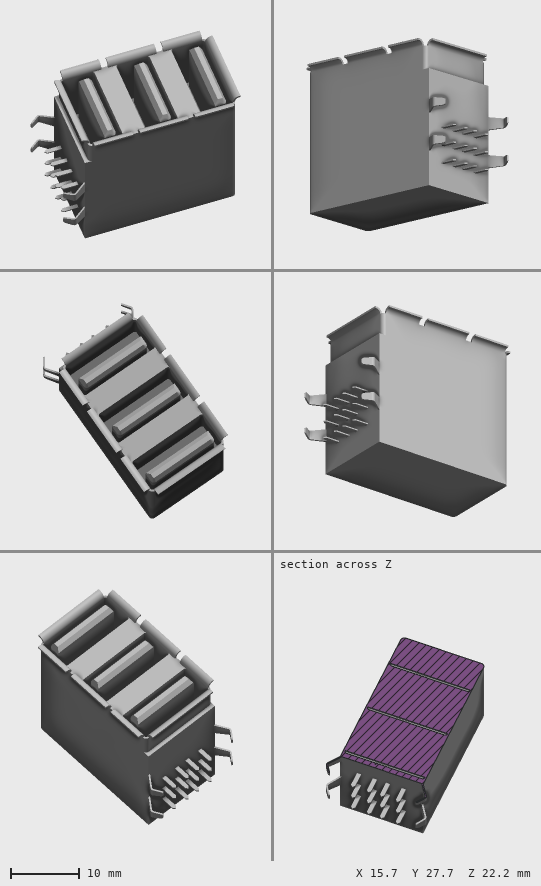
import cadquery as cq
import math


sheet = 0.3
shell_width = 13.1
shell_front = 0.6
shell_back = 23.38
shell_depth = shell_back - shell_front
rim_height = 21.2
corner_radius = 2 * sheet
half_width = shell_width / 2

block_height = 17.65
block_overlap = corner_radius

lip_height = 1.0
lip_reach = 0.85
side_lip_gap = 1.05
short_lip_length = 6.0
straight_depth = shell_depth - 2 * corner_radius

port_count = 3
port_width = shell_width - 2 * sheet
port_depth = 5.13
port_floor = 12.35
port_first = shell_front + sheet
port_last = shell_back - sheet - port_depth
port_pitch = (port_last - port_first) / (port_count - 1)
groove_depth = 0.55

tongue_width = 11.1
tongue_depth = 1.85
tongue_top = 21.68
tongue_offset = 2.52
tongue_corner = 0.58
tongue_bevel_run = 0.5
tongue_bevel_drop = 0.85
front_bevel_run = 0.6
front_bevel_drop = 0.65

pin_width = 0.65
pin_thickness = 0.2
pin_length = 2.58
pin_point = 0.33
pin_columns = (-3.52, -1.03, 1.03, 3.52)
pin_first_row = 3.97
pin_row_pitch = 2.65
pin_rows = 3

clip_heights = (6.2, 11.92)
clip_sheet = 0.25
clip_span = 15.7
clip_reach = 3.5
clip_angle = math.radians(35)
clip_bend_radius = 0.53
clip_bend_y = -2.0
clip_base_height = 1.95
clip_taper = 0.14
clip_tip_radius = 0.35

root = 0.28


def make_shell():
    shell = (
        cq.Workplane("XY")
        .box(shell_width, shell_depth, rim_height, centered=(True, False, False))
        .translate((0, shell_front, 0))
        .edges("|Z")
        .fillet(corner_radius)
    )
    block = cq.Workplane("XY").box(
        shell_width, shell_front + block_overlap, block_height, centered=(True, False, False)
    )
    return shell.union(block)


def make_lip(length):
    """Lip along Y, centred on y = 0; the wall's outer face is x = 0 and the flare goes to +X."""
    inner_radius = lip_height - sheet
    diagonal = math.sqrt(0.5)
    return (
        cq.Workplane("XZ")
        .moveTo(-sheet, rim_height)
        .threePointArc(
            (inner_radius - lip_height * diagonal, rim_height + lip_height * diagonal),
            (inner_radius, rim_height + lip_height),
        )
        .lineTo(lip_reach, rim_height + lip_height)
        .lineTo(lip_reach, rim_height + inner_radius)
        .lineTo(inner_radius, rim_height + inner_radius)
        .threePointArc(
            (inner_radius * (1 - diagonal), rim_height + inner_radius * diagonal),
            (0, rim_height),
        )
        .close()
        .extrude(length / 2, both=True)
    )


def make_lips():
    long_length = straight_depth - 2 * side_lip_gap - 2 * short_lip_length
    middle = (shell_front + shell_back) / 2
    short_offset = (long_length + short_lip_length) / 2 + side_lip_gap
    end_length = shell_width - 2 * corner_radius

    lips = []
    placements = (
        (-short_offset, short_lip_length),
        (0, long_length),
        (short_offset, short_lip_length),
    )
    for offset, length in placements:
        lip = make_lip(length).translate((half_width, middle + offset, 0))
        lips.extend((lip, lip.mirror("YZ")))

    end_lip = make_lip(end_length)
    lips.append(end_lip.rotate((0, 0, 0), (0, 0, 1), 90).translate((0, shell_back, 0)))
    lips.append(end_lip.rotate((0, 0, 0), (0, 0, 1), -90).translate((0, shell_front, 0)))
    return lips


def make_port():
    """Cavity with its -Y face on y = 0 and a narrow groove along that side of the floor."""
    groove_floor = port_floor - groove_depth
    cavity = (
        cq.Workplane("XY")
        .box(port_width, port_depth, rim_height - groove_floor, centered=(True, False, False))
        .edges("|Z")
        .fillet(sheet)
        .translate((0, 0, groove_floor))
    )
    floor_step = (
        cq.Workplane("XY")
        .box(port_width, port_depth, groove_depth, centered=(True, False, False))
        .translate((0, sheet, groove_floor))
    )
    return cavity.cut(floor_step)


def make_tongue():
    """Tongue standing on the port floor, bevelled at its top, with y = 0 on the port's -Y face."""
    back = tongue_offset + tongue_depth
    height = tongue_top - port_floor + root
    half_tongue = tongue_width / 2
    body = (
        cq.Workplane("XY")
        .box(tongue_width, tongue_depth, height, centered=(True, False, False))
        .translate((0, tongue_offset, port_floor - root))
        .edges("|Z and >Y")
        .fillet(tongue_corner)
    )
    taper = math.degrees(math.atan2(tongue_bevel_run, tongue_bevel_drop))
    bevel_base = tongue_top - tongue_bevel_drop
    cap = (
        cq.Workplane("XY", origin=(0, 0, bevel_base))
        .moveTo(-half_tongue, tongue_offset - tongue_bevel_run)
        .lineTo(half_tongue, tongue_offset - tongue_bevel_run)
        .lineTo(half_tongue, back - tongue_corner)
        .radiusArc((half_tongue - tongue_corner, back), -tongue_corner)
        .lineTo(tongue_corner - half_tongue, back)
        .radiusArc((-half_tongue, back - tongue_corner), -tongue_corner)
        .close()
        .extrude(tongue_bevel_drop, taper=taper)
    )
    trunk = cq.Workplane("XY").box(tongue_width, back, bevel_base, centered=(True, False, False))
    front_wedge = (
        cq.Workplane("YZ")
        .moveTo(tongue_offset, tongue_top - front_bevel_drop)
        .lineTo(tongue_offset + front_bevel_run, tongue_top)
        .lineTo(tongue_offset, tongue_top)
        .close()
        .extrude(half_tongue, both=True)
    )
    return body.intersect(trunk.union(cap)).cut(front_wedge)


def make_pin():
    """Flat pin along -Y with a pointed tip, centred on x = 0, z = 0."""
    half_pin = pin_width / 2
    return (
        cq.Workplane("XY")
        .moveTo(-half_pin, root)
        .lineTo(half_pin, root)
        .lineTo(half_pin, pin_point - pin_length)
        .lineTo(0, -pin_length)
        .lineTo(-half_pin, pin_point - pin_length)
        .close()
        .extrude(pin_thickness / 2, both=True)
    )


def make_clip():
    """Clip on the +X side, centred on z = 0: out from the block, round a bend and back inward."""
    center_x = clip_span / 2 - clip_bend_radius
    inner_radius = clip_bend_radius - clip_sheet
    cosine = math.cos(clip_angle)
    sine = math.sin(clip_angle)

    def on_bend(radius, side):
        return (center_x + radius * cosine, clip_bend_y + side * radius * sine)

    outer_start = on_bend(clip_bend_radius, 1)
    outer_end = on_bend(clip_bend_radius, -1)
    inner_start = on_bend(inner_radius, 1)
    inner_end = on_bend(inner_radius, -1)
    root_run = (root - outer_start[1]) / cosine
    tip_run = (clip_reach + outer_end[1]) / cosine

    strip = (
        cq.Workplane("XY")
        .moveTo(outer_start[0] - root_run * sine, root)
        .lineTo(*outer_start)
        .threePointArc((center_x + clip_bend_radius, clip_bend_y), outer_end)
        .lineTo(outer_end[0] - tip_run * sine, -clip_reach)
        .lineTo(inner_end[0] - tip_run * sine, inner_end[1] - tip_run * cosine)
        .lineTo(*inner_end)
        .threePointArc((center_x + inner_radius, clip_bend_y), inner_start)
        .lineTo(inner_start[0] - root_run * sine, inner_start[1] + root_run * cosine)
        .close()
        .extrude(clip_base_height, both=True)
    )
    root_half = clip_base_height / 2 + clip_taper * 2 * root
    tip_half = clip_base_height / 2 - clip_taper * clip_reach
    outline = (
        cq.Workplane("YZ")
        .moveTo(2 * root, root_half)
        .lineTo(-clip_reach, tip_half)
        .lineTo(-clip_reach, -tip_half)
        .lineTo(2 * root, -root_half)
        .close()
        .extrude(clip_span)
        .edges("|X and <Y")
        .fillet(clip_tip_radius)
    )
    return strip.intersect(outline)


result = make_shell()

for lip in make_lips():
    result = result.union(lip)

port = make_port()
tongue = make_tongue()
for index in range(port_count):
    place = (0, port_first + index * port_pitch, 0)
    result = result.cut(port.translate(place)).union(tongue.translate(place))

pin = make_pin()
for row in range(pin_rows):
    for column in pin_columns:
        result = result.union(pin.translate((column, 0, pin_first_row + row * pin_row_pitch)))

clip = make_clip()
for height in clip_heights:
    placed_clip = clip.translate((0, 0, height))
    result = result.union(placed_clip).union(placed_clip.mirror("YZ"))